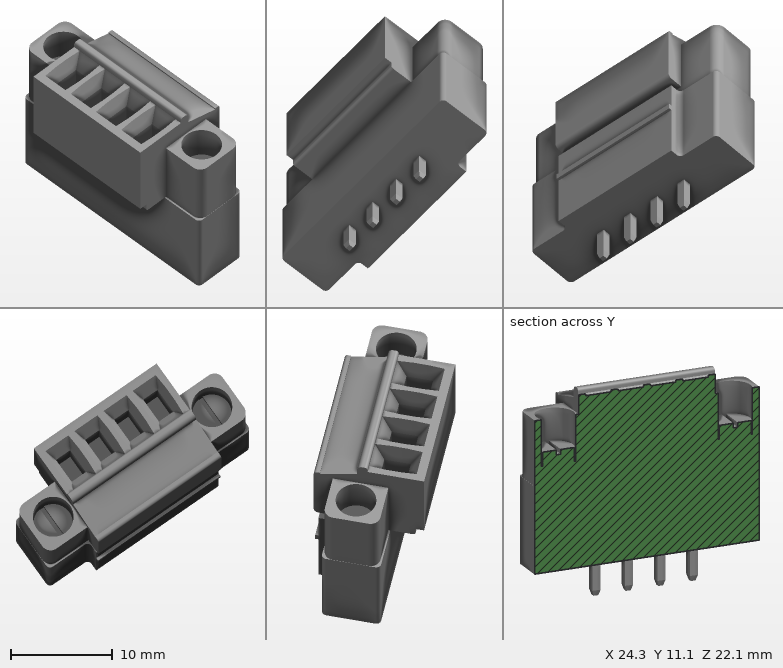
import cadquery as cq


length = 24.3
pole_count = 4
pitch = 3.5
pole_positions = [(i - (pole_count - 1) / 2) * pitch for i in range(pole_count)]

header_height = 9.19
header_front = -3.0
header_end_back = 2.96
header_back = 4.25
header_neck_width = 14.73
header_corner_radius = 0.49
pick_margin = 0.02
key_depth = 0.32
key_bottom = 5.7
key_height = 0.63

pin_width = 0.87
pin_tip_width = 0.5
pin_length = 3.4
pin_taper_length = 0.6

plug_width = 14.77
plug_front = -6.4
plug_back = 4.71
plug_bottom = 10.1
plug_foot_front = -5.55
plug_foot_radius = 0.3
plug_back_radius = 0.49
deck_z = 18.08
ridge_top = 18.69
ridge_front = -0.7
ridge_back = 0.35
ridge_front_radius = 0.32
ridge_back_radius = 0.5
slope_top = 17.45
slope_bottom = 16.48
lip_top = 16.62
lip_width = 0.63
lip_radius = 0.32

ear_length = 24.25
ear_depth = 5.6
ear_top = 16.06
ear_corner_radius = 1.0
screw_x = 9.55
screw_bore_diameter = 4.0
screw_bore_depth = 4.85
screw_head_diameter = 3.9
screw_head_height = 1.45
screw_slot_width = 0.45
screw_slot_depth = 0.49

funnel_front = -5.5
funnel_back = ridge_front
funnel_end_width = 2.77
funnel_mid_width = 3.01
funnel_depth = 1.55
pit_width = 1.7
pit_front = -4.42
pit_back = -1.75
pit_depth = 3.4


def make_header():
    """Long block whose back steps out between the ends, with a key rib behind."""
    end_depth = header_end_back - header_front
    block = cq.Workplane("XY").box(length, end_depth, header_height, centered=(True, False, False))
    block = block.translate((0, header_front, 0))
    neck = cq.Workplane("XY").box(
        header_neck_width, header_back - header_front, header_height, centered=(True, False, False)
    ).translate((0, header_front, 0))
    header = block.union(neck)

    header = header.edges("|Z and (<X or >X)").fillet(header_corner_radius)
    half_neck = header_neck_width / 2
    inner_corners = cq.selectors.BoxSelector(
        (-half_neck - pick_margin, header_end_back - pick_margin, 0),
        (half_neck + pick_margin, header_end_back + pick_margin, header_height),
    )
    header = header.edges("|Z").edges(inner_corners).fillet(header_corner_radius)

    key = cq.Workplane("XY").box(
        header_neck_width, key_depth, key_height, centered=(True, False, False)
    ).translate((0, header_back, key_bottom))
    return header.union(key)


def make_pin(x):
    """Square pin with a pyramidal tip."""
    shank_length = pin_length - pin_taper_length
    shank = cq.Workplane("XY").center(x, 0).rect(pin_width, pin_width).extrude(-shank_length)
    tip = (
        cq.Workplane("XY", origin=(x, 0, -shank_length))
        .rect(pin_width, pin_width)
        .workplane(offset=-pin_taper_length)
        .rect(pin_tip_width, pin_tip_width)
        .loft()
    )
    return shank.union(tip)


def make_plug_body():
    """Constant side profile, drawn in Y-Z and extruded along X."""
    lip_front = plug_back - lip_width
    profile = (
        cq.Workplane("YZ")
        .moveTo(ear_depth / 2, header_height)
        .lineTo(plug_foot_front + plug_foot_radius, header_height)
        .radiusArc((plug_foot_front, header_height + plug_foot_radius), plug_foot_radius)
        .lineTo(plug_foot_front, plug_bottom)
        .lineTo(plug_front, plug_bottom)
        .lineTo(plug_front, deck_z)
        .lineTo(ridge_front, deck_z)
        .lineTo(ridge_front, ridge_top - ridge_front_radius)
        .radiusArc((ridge_front + ridge_front_radius, ridge_top), ridge_front_radius)
        .lineTo(ridge_back - ridge_back_radius, ridge_top)
        .radiusArc((ridge_back, ridge_top - ridge_back_radius), ridge_back_radius)
        .lineTo(ridge_back, slope_top)
        .lineTo(lip_front, slope_bottom)
        .lineTo(lip_front, lip_top)
        .lineTo(plug_back - lip_radius, lip_top)
        .radiusArc((plug_back, lip_top - lip_radius), lip_radius)
        .lineTo(plug_back, plug_bottom + plug_back_radius)
        .radiusArc((plug_back - plug_back_radius, plug_bottom), plug_back_radius)
        .lineTo(ear_depth / 2, plug_bottom)
        .close()
    )
    return profile.extrude(plug_width / 2, both=True)


def make_ears():
    """One rounded bar through the plug body; its two ends are the screw ears."""
    ear_height = ear_top - header_height
    bar = cq.Workplane("XY").box(ear_length, ear_depth, ear_height, centered=(True, True, False))
    return bar.edges("|Z").fillet(ear_corner_radius).translate((0, 0, header_height))


def make_screw_bore(x):
    """Cutter for an ear: a blind bore that leaves a slotted screw head on its floor."""
    floor_plane = cq.Workplane("XY", origin=(x, 0, ear_top - screw_bore_depth))
    bore = floor_plane.circle(screw_bore_diameter / 2).extrude(screw_bore_depth)
    head = floor_plane.circle(screw_head_diameter / 2).extrude(screw_head_height)
    slot_floor = floor_plane.workplane(offset=screw_head_height - screw_slot_depth)
    slot = slot_floor.rect(screw_slot_width, screw_head_diameter).extrude(screw_slot_depth)
    return bore.cut(head.cut(slot))


def bowed_section(workplane, front, back, end_width, mid_width):
    """Closed outline with straight front and back and outward-bowed sides."""
    middle = (front + back) / 2
    half_end = end_width / 2
    half_mid = mid_width / 2
    return (
        workplane.moveTo(-half_end, front)
        .lineTo(half_end, front)
        .threePointArc((half_mid, middle), (half_end, back))
        .lineTo(-half_end, back)
        .threePointArc((-half_mid, middle), (-half_end, front))
        .close()
    )


def make_funnel(x):
    """Cutter for one wire entry: a bowed funnel that narrows to a rectangular pit."""
    pit_top = deck_z - funnel_depth
    pit_center = (pit_front + pit_back) / 2
    pit_length = pit_back - pit_front
    mouth_plane = cq.Workplane("XY", origin=(x, 0, deck_z))
    mouth = bowed_section(mouth_plane, funnel_front, funnel_back, funnel_end_width, funnel_mid_width)
    throat = mouth.workplane(offset=-funnel_depth)
    throat = (
        throat.moveTo(-pit_width / 2, pit_front)
        .lineTo(pit_width / 2, pit_front)
        .lineTo(pit_width / 2, pit_back)
        .lineTo(-pit_width / 2, pit_back)
        .close()
    )
    funnel = throat.loft(ruled=True)
    pit = cq.Workplane("XY", origin=(x, pit_center, pit_top)).rect(pit_width, pit_length).extrude(-pit_depth)
    return funnel.union(pit)


result = make_header().union(make_plug_body()).union(make_ears())

for pole_x in pole_positions:
    result = result.union(make_pin(pole_x))
    result = result.cut(make_funnel(pole_x))

for ear_x in (-screw_x, screw_x):
    result = result.cut(make_screw_bore(ear_x))